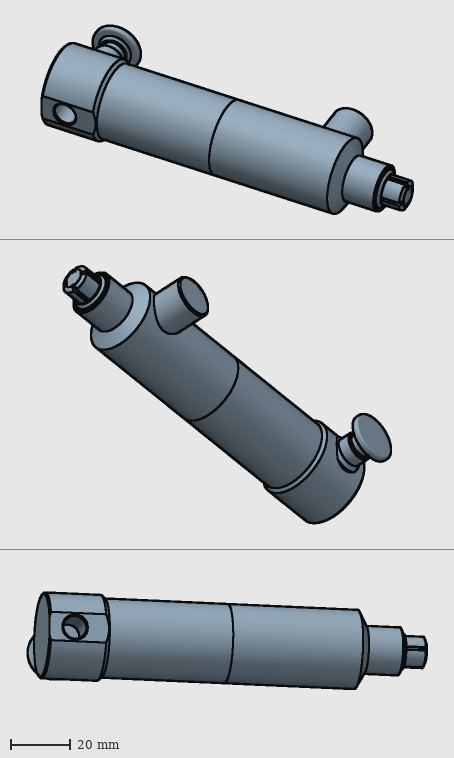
import cadquery as cq

TOTAL_LENGTH = 132.2
TOTAL_WIDTH = 40.5
TUBE_RADIUS = 27.0 / 2
SEAM_X = 63.5

HEAD_RADIUS = 29.2 / 2
HEAD_EDGE_CHAMFER = 0.5
HEAD_SHOULDER_X = 19.6
HEAD_TAPER_END_X = 20.9
HEAD_FLAT_Y = -13.8
SIDE_HOLE_DIA = 7.9
SIDE_HOLE_DEPTH = 13.2
SIDE_HOLE_CHAMFER = 0.4

FITTING_X = 8.9
FITTING_TOP_Y = TOTAL_WIDTH + HEAD_FLAT_Y
FLANGE_RADIUS = 17.7 / 2
FLANGE_THICKNESS = 2.6
FLANGE_EDGE_RADIUS = 0.8
COLLAR_TOP_RADIUS = 6.1
STEM_RADIUS = 10.7 / 2
COLLAR_TAPER = 0.7
NECK_RADIUS = 8.3 / 2
NECK_EDGE_CHAMFER = 0.4
NECK_LENGTH = 3.2
STEM_BASE_Y = 15.1
WELD_RADIUS = 13.8 / 2

PORT_X = 98.8
PORT_RADIUS = 15.2 / 2
PORT_TOP_Y = 25.0
PORT_CHAMFER = 0.5

BARREL_CONE_X = 108.3
SPIGOT_X = 111.3
SPIGOT_RADIUS = 16.4 / 2
SPIGOT_END_X = 123.5
SPIGOT_CHAMFER_LENGTH = 0.4
SPIGOT_END_RADIUS = 15.2 / 2
RING_RADIUS = 13.8 / 2
RING_LENGTH = 1.2
RING_END_RADIUS = 5.8
TIP_RADIUS = 10.7 / 2
TIP_CHAMFER_LENGTH = 0.8
TIP_END_RADIUS = 3.6

SLOT_WIDTH = 1.2
SLOT_FLOOR_RADIUS = 8.3 / 2
SLOT_END_FLOOR_RADIUS = 3.2
SLOT_STEP_X = 129.5


def turned_about_x(profile):
    """Solid of revolution about X from (x, radius) points."""
    return cq.Workplane("XY").polyline(profile).close().revolve(360, (0, 0, 0), (1, 0, 0))


def cylinder_y(x, radius, y_start, y_end):
    """Cylinder along +Y centred on X = x, Z = 0."""
    return (
        cq.Workplane("XZ", origin=(x, y_start, 0))
        .circle(radius)
        .extrude(-(y_end - y_start))
    )


def make_fitting():
    """Flange, waisted neck and stem, turned about a Y axis."""
    flange_bottom = FITTING_TOP_Y - FLANGE_THICKNESS
    neck_top = flange_bottom - COLLAR_TAPER - NECK_EDGE_CHAMFER
    neck_bottom = neck_top - NECK_LENGTH
    weld_bottom = STEM_BASE_Y - (WELD_RADIUS - STEM_RADIUS)
    profile = [
        (0, 0),
        (WELD_RADIUS, 0),
        (WELD_RADIUS, weld_bottom),
        (STEM_RADIUS, STEM_BASE_Y),
        (STEM_RADIUS, neck_bottom - NECK_EDGE_CHAMFER),
        (STEM_RADIUS - NECK_EDGE_CHAMFER, neck_bottom),
        (NECK_RADIUS, neck_bottom),
        (NECK_RADIUS, neck_top),
        (STEM_RADIUS - NECK_EDGE_CHAMFER, neck_top),
        (STEM_RADIUS, neck_top + NECK_EDGE_CHAMFER),
        (COLLAR_TOP_RADIUS, flange_bottom),
        (0, flange_bottom),
    ]
    stem = (
        cq.Workplane("XY", origin=(FITTING_X, 0, 0))
        .polyline(profile)
        .close()
        .revolve(360, (0, 0, 0), (0, 1, 0))
    )
    flange = cylinder_y(FITTING_X, FLANGE_RADIUS, flange_bottom, FITTING_TOP_Y)
    flange = flange.edges().fillet(FLANGE_EDGE_RADIUS)
    return stem.union(flange)


def make_head():
    """Head with its half of the tube, the side flat and hole, and the flanged fitting."""
    head = turned_about_x([
        (0, 0),
        (0, HEAD_RADIUS - HEAD_EDGE_CHAMFER),
        (HEAD_EDGE_CHAMFER, HEAD_RADIUS),
        (HEAD_SHOULDER_X, HEAD_RADIUS),
        (HEAD_TAPER_END_X, TUBE_RADIUS),
        (SEAM_X, TUBE_RADIUS),
        (SEAM_X, 0),
    ])
    beyond_flat = (
        cq.Workplane("XY", origin=(0, HEAD_FLAT_Y - HEAD_RADIUS, 0))
        .box(SEAM_X, HEAD_RADIUS, 2 * HEAD_RADIUS, centered=(False, False, True))
    )
    side_hole = cylinder_y(
        FITTING_X, SIDE_HOLE_DIA / 2, HEAD_FLAT_Y, HEAD_FLAT_Y + SIDE_HOLE_DEPTH
    )
    countersink = cq.Workplane("XY").add(
        cq.Solid.makeCone(
            SIDE_HOLE_DIA / 2 + SIDE_HOLE_CHAMFER,
            SIDE_HOLE_DIA / 2,
            SIDE_HOLE_CHAMFER,
            pnt=cq.Vector(FITTING_X, HEAD_FLAT_Y, 0),
            dir=cq.Vector(0, 1, 0),
        )
    )
    return head.cut(beyond_flat).union(make_fitting()).cut(side_hole).cut(countersink)


def make_slot_cutter(ring_end_x):
    """Two crossed slots in the tip, running in to a core that steps down near the end."""
    blades = cq.Workplane("XY")
    slot_length = TOTAL_LENGTH - ring_end_x
    span = 2 * TIP_RADIUS
    for width_y, width_z in ((span, SLOT_WIDTH), (SLOT_WIDTH, span)):
        blade = (
            cq.Workplane("XY", origin=(ring_end_x, 0, 0))
            .box(slot_length, width_y, width_z, centered=(False, True, True))
        )
        blades = blades.union(blade)
    core = turned_about_x([
        (ring_end_x, 0),
        (ring_end_x, SLOT_FLOOR_RADIUS),
        (SLOT_STEP_X, SLOT_FLOOR_RADIUS),
        (SLOT_STEP_X, SLOT_END_FLOOR_RADIUS),
        (TOTAL_LENGTH, SLOT_END_FLOOR_RADIUS),
        (TOTAL_LENGTH, 0),
    ])
    return blades.cut(core)


def make_barrel():
    """Other half of the tube, tapering to a stepped spigot and slotted tip, with the port."""
    ring_end_x = SPIGOT_END_X + RING_LENGTH
    barrel = turned_about_x([
        (SEAM_X, 0),
        (SEAM_X, TUBE_RADIUS),
        (BARREL_CONE_X, TUBE_RADIUS),
        (SPIGOT_X, SPIGOT_RADIUS),
        (SPIGOT_END_X - SPIGOT_CHAMFER_LENGTH, SPIGOT_RADIUS),
        (SPIGOT_END_X, SPIGOT_END_RADIUS),
        (SPIGOT_END_X, RING_RADIUS),
        (ring_end_x, RING_END_RADIUS),
        (ring_end_x, TIP_RADIUS),
        (TOTAL_LENGTH - TIP_CHAMFER_LENGTH, TIP_RADIUS),
        (TOTAL_LENGTH, TIP_END_RADIUS),
        (TOTAL_LENGTH, 0),
    ])
    port = cylinder_y(PORT_X, PORT_RADIUS, 0, PORT_TOP_Y).faces(">Y").chamfer(PORT_CHAMFER)
    return barrel.union(port).cut(make_slot_cutter(ring_end_x))


head = make_head()
barrel = make_barrel()

result = cq.Compound.makeCompound([head.val(), barrel.val()])